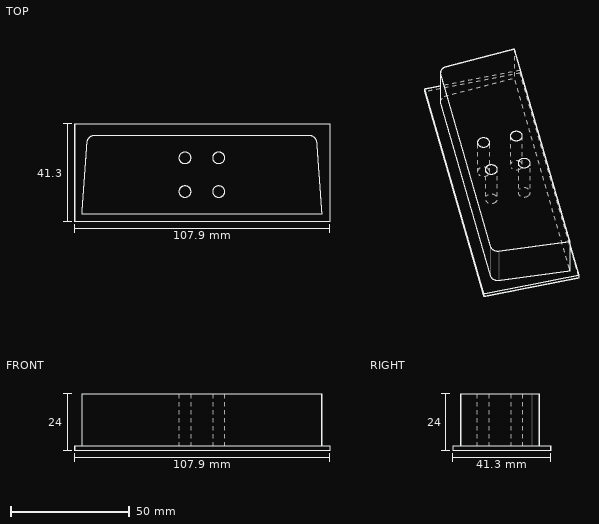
import cadquery as cq

plate_length = 107.9
plate_width = 41.3
plate_thickness = 2.0
total_height = 24.0

block_front_length = 101.4
block_back_length = 96.7
block_width = 33.2
block_height = total_height - plate_thickness
block_corner_radius = 3.2
block_center_x = -0.2
front_margin = 3.2
block_front_y = -plate_width / 2 + front_margin
block_back_y = block_front_y + block_width
block_center_y = block_front_y + block_width / 2

hole_diameter = 5.0
hole_spacing = 14.2
hole_depth = block_height


def make_plate():
    return cq.Workplane("XY").box(
        plate_length, plate_width, plate_thickness, centered=(True, True, False)
    )


def make_block():
    outline = [
        (block_center_x - block_front_length / 2, block_front_y),
        (block_center_x + block_front_length / 2, block_front_y),
        (block_center_x + block_back_length / 2, block_back_y),
        (block_center_x - block_back_length / 2, block_back_y),
    ]
    block = (
        cq.Workplane("XY")
        .workplane(offset=plate_thickness)
        .polyline(outline)
        .close()
        .extrude(block_height)
    )
    return block.edges("|Z and >Y").fillet(block_corner_radius)


def make_holes():
    return (
        cq.Workplane("XY")
        .workplane(offset=total_height)
        .center(block_center_x, block_center_y)
        .rarray(hole_spacing, hole_spacing, 2, 2)
        .circle(hole_diameter / 2)
        .extrude(-hole_depth)
    )


result = make_plate().union(make_block()).cut(make_holes())